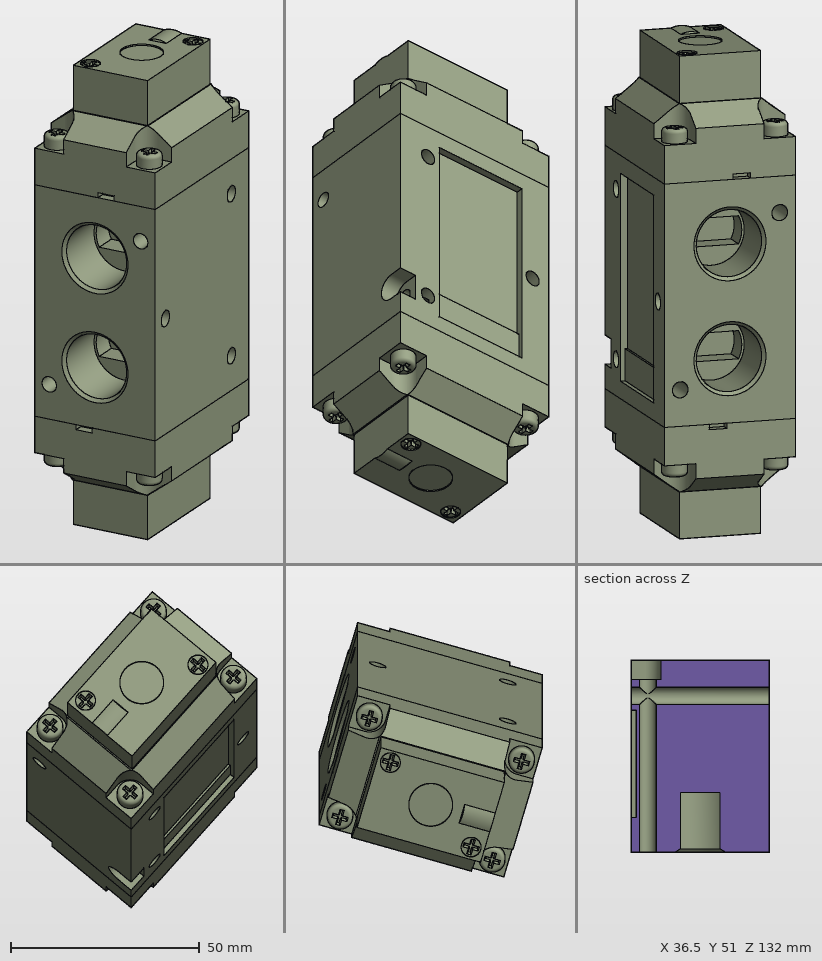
import cadquery as cq

WIDTH = 36.5
LENGTH = 51.0
HALF_HEIGHT = 66.0
HALF_X = WIDTH / 2
HALF_Y = LENGTH / 2

BODY_END = 33.0
SCREW_SEAT = 43.4
SLOPE_START = 47.5
COVER_END = 52.7
CAP_END = 65.5

PORT_Z = 15.6
PORT_RADIUS = 9.1
PORT_CHAMFER = 0.9
PORT_DEPTH = 15.8
PORT_SLOT_RADIUS = 8.5
PORT_SLOT_HEIGHT = 7.7
PORT_SLOT_DEPTH = 6.6
FRONT_HOLE_X = 13.9
MOUNT_HOLE_Z = 23.1
FRONT_HOLE_DIAMETER = 4.4
SIDE_HOLE_DIAMETER = 4.5
SIDE_HOLES = [(16.0, MOUNT_HOLE_Z), (16.0, -MOUNT_HOLE_Z), (-19.9, 0)]
LABEL_Y = (-16.2, 12.1)
LABEL_BOTTOM = -28.2
LABEL_STEP = -19.5
LABEL_TOP = 28.1
LABEL_DEPTH = 2.0
LABEL_STEP_DEPTH = 1.3
NOTCH_Z = -22.5
NOTCH_RADIUS = 4.0
NOTCH_REACH = 7.9
NOTCH_DEPTH = 5.1

COVER_TOP_X = 23.0
COVER_TOP_Y = 34.8
CORNER_SCREW_X = 14.0
CORNER_SCREW_Y = 21.0
CORNER_POCKET_RADIUS = 4.5
CORNER_HEAD_RADIUS = 3.4
CORNER_HEAD_HEIGHT = 3.7
CORNER_HEAD_ROUND = 1.0
KEYWAY_X = 3.3
KEYWAY_WIDTH = 4.9
KEYWAY_HEIGHT = 1.5
KEYWAY_DEPTH = 2.6

CAP_X = 22.6
CAP_Y = 34.0
CAP_SCREW_X = 8.0
CAP_SCREW_Y = 13.5
CAP_SCREW_RADIUS = 2.6
BUTTON_RADIUS = 5.8
SHALLOW_RECESS = 0.4
RIB_WIDTH = 5.3
RIB_LENGTH = 8.5
RIB_END_RUN = 0.3

CROSS_LENGTH = 4.2
CROSS_WIDTH = 1.2
CROSS_DEPTH = 1.3
CROSS_TAPER = 15


def block(x_range, y_range, z_range):
    """Box spanning the given ranges."""
    sizes = [high - low for low, high in (x_range, y_range, z_range)]
    return cq.Workplane("XY").box(*sizes, centered=False).translate((x_range[0], y_range[0], z_range[0]))


def centred_block(x_size, y_size, z_low, z_high):
    """Box centred on the Z axis."""
    return block((-x_size / 2, x_size / 2), (-y_size / 2, y_size / 2), (z_low, z_high))


def disc(x, y, z_low, z_high, radius):
    """Upright cylinder between two levels."""
    return cq.Workplane("XY", origin=(x, y, z_low)).circle(radius).extrude(z_high - z_low)


def cross_recess(x, y, z_top):
    """Cutter for a tapered cross-shaped screwdriver recess."""
    outline = cq.Sketch().rect(CROSS_LENGTH, CROSS_WIDTH).rect(CROSS_WIDTH, CROSS_LENGTH).clean()
    return cq.Workplane("XY", origin=(x, y, z_top)).placeSketch(outline).extrude(-CROSS_DEPTH, taper=CROSS_TAPER)


def port(z):
    """Cutter for a chamfered port in the -Y face with a flat-sided slot in its floor."""
    mouth = cq.Workplane("XZ", origin=(0, -HALF_Y, z))
    bore = mouth.circle(PORT_RADIUS).extrude(-PORT_DEPTH)
    lead_in = cq.Solid.makeCone(
        PORT_RADIUS + PORT_CHAMFER, PORT_RADIUS, PORT_CHAMFER,
        pnt=cq.Vector(0, -HALF_Y, z), dir=cq.Vector(0, 1, 0),
    )
    total_depth = PORT_DEPTH + PORT_SLOT_DEPTH
    round_end = mouth.circle(PORT_SLOT_RADIUS).extrude(-total_depth)
    slot = mouth.rect(2 * PORT_SLOT_RADIUS, PORT_SLOT_HEIGHT).extrude(-total_depth).intersect(round_end)
    return bore.union(cq.Workplane(lead_in)).union(slot)


def label_recess():
    """Cutter for the stepped label recess in the -X face."""
    deep = block((-HALF_X, -HALF_X + LABEL_DEPTH), LABEL_Y, (LABEL_STEP, LABEL_TOP))
    shallow = block((-HALF_X, -HALF_X + LABEL_STEP_DEPTH), LABEL_Y, (LABEL_BOTTOM, LABEL_STEP))
    return deep.union(shallow)


def edge_notch():
    """Cutter for the round-ended notch in the edge between the -X and +Y faces."""
    round_x = -HALF_X + NOTCH_REACH - NOTCH_RADIUS
    y_range = (HALF_Y - NOTCH_DEPTH, HALF_Y)
    straight = block((-HALF_X, round_x), y_range, (NOTCH_Z - NOTCH_RADIUS, NOTCH_Z + NOTCH_RADIUS))
    rounded = cq.Workplane("XZ", origin=(round_x, HALF_Y, NOTCH_Z)).circle(NOTCH_RADIUS).extrude(NOTCH_DEPTH)
    return straight.union(rounded)


def make_valve_body():
    """Valve body with two ports, mounting holes, label recess and edge notch."""
    body = centred_block(WIDTH, LENGTH, -BODY_END, BODY_END)
    for side in (1, -1):
        body = body.cut(port(side * PORT_Z))
        front_hole = cq.Workplane("XZ", origin=(side * FRONT_HOLE_X, HALF_Y, side * MOUNT_HOLE_Z))
        body = body.cut(front_hole.circle(FRONT_HOLE_DIAMETER / 2).extrude(LENGTH))
    for y, z in SIDE_HOLES:
        side_hole = cq.Workplane("YZ", origin=(-HALF_X, y, z))
        body = body.cut(side_hole.circle(SIDE_HOLE_DIAMETER / 2).extrude(WIDTH))
    return body.cut(label_recess()).cut(edge_notch())


def corner_pocket(x_side, y_side):
    """Cutter for a corner screw pocket, rounded about the screw on its inner corner."""
    x_size = HALF_X - CORNER_SCREW_X + CORNER_POCKET_RADIUS
    y_size = HALF_Y - CORNER_SCREW_Y + CORNER_POCKET_RADIUS
    pocket = block((HALF_X - x_size, HALF_X), (HALF_Y - y_size, HALF_Y), (SCREW_SEAT, COVER_END))
    pocket = pocket.edges("|Z and <X and <Y").fillet(CORNER_POCKET_RADIUS)
    if x_side < 0:
        pocket = pocket.mirror("YZ")
    if y_side < 0:
        pocket = pocket.mirror("XZ")
    return pocket


def corner_screw_head(x, y):
    """Round-topped screw head standing on its seat."""
    top = SCREW_SEAT + CORNER_HEAD_HEIGHT
    head = disc(x, y, SCREW_SEAT, top, CORNER_HEAD_RADIUS)
    head = head.faces(">Z").edges().fillet(CORNER_HEAD_ROUND)
    return head.cut(cross_recess(x, y, top))


def make_cover():
    """Cover on the +Z end, with its four corner screw heads."""
    cover = centred_block(WIDTH, LENGTH, BODY_END, SLOPE_START)
    slope = (
        cq.Workplane("XY", origin=(0, 0, SLOPE_START))
        .rect(WIDTH, LENGTH)
        .workplane(offset=COVER_END - SLOPE_START)
        .rect(COVER_TOP_X, COVER_TOP_Y)
        .loft(ruled=True)
    )
    cover = cover.union(slope)
    for x_side in (1, -1):
        for y_side in (1, -1):
            cover = cover.cut(corner_pocket(x_side, y_side))
            cover = cover.union(corner_screw_head(x_side * CORNER_SCREW_X, y_side * CORNER_SCREW_Y))
    keyway = block(
        (KEYWAY_X - KEYWAY_WIDTH / 2, KEYWAY_X + KEYWAY_WIDTH / 2),
        (-HALF_Y, -HALF_Y + KEYWAY_DEPTH),
        (BODY_END, BODY_END + KEYWAY_HEIGHT),
    )
    return cover.cut(keyway)


def index_rib():
    """Low rib with an arched section and a sloping inner end, running in from the +Y edge of the cap."""
    arch = (
        cq.Workplane("XZ", origin=(0, CAP_Y / 2, 0))
        .moveTo(-RIB_WIDTH / 2, CAP_END)
        .threePointArc((0, HALF_HEIGHT), (RIB_WIDTH / 2, CAP_END))
        .close()
        .extrude(RIB_LENGTH)
    )
    inner_y = CAP_Y / 2 - RIB_LENGTH
    end_waste = (
        cq.Workplane("YZ", origin=(-RIB_WIDTH / 2, 0, 0))
        .polyline([(inner_y, CAP_END), (inner_y, HALF_HEIGHT), (inner_y + RIB_END_RUN, HALF_HEIGHT)])
        .close()
        .extrude(RIB_WIDTH)
    )
    return arch.cut(end_waste)


def make_cap():
    """Cap on the +Z cover, with a button recess, two sunken screws and an index rib."""
    cap = centred_block(CAP_X, CAP_Y, COVER_END, CAP_END).union(index_rib())
    recess_floor = CAP_END - SHALLOW_RECESS
    cap = cap.cut(disc(0, 0, recess_floor, CAP_END, BUTTON_RADIUS))
    for side in (1, -1):
        x, y = side * CAP_SCREW_X, side * CAP_SCREW_Y
        cap = cap.cut(disc(x, y, recess_floor, CAP_END, CAP_SCREW_RADIUS))
        cap = cap.cut(cross_recess(x, y, recess_floor))
    return cap


def at_both_ends(part):
    """The part as built on the +Z end, and its copy turned about Y onto the -Z end."""
    return [part.rotate((0, 0, 0), (0, 1, 0), angle).solids().val() for angle in (0, 180)]


valve_body = make_valve_body()
covers = at_both_ends(make_cover())
caps = at_both_ends(make_cap())

result = cq.Compound.makeCompound([valve_body.solids().val(), *covers, *caps])